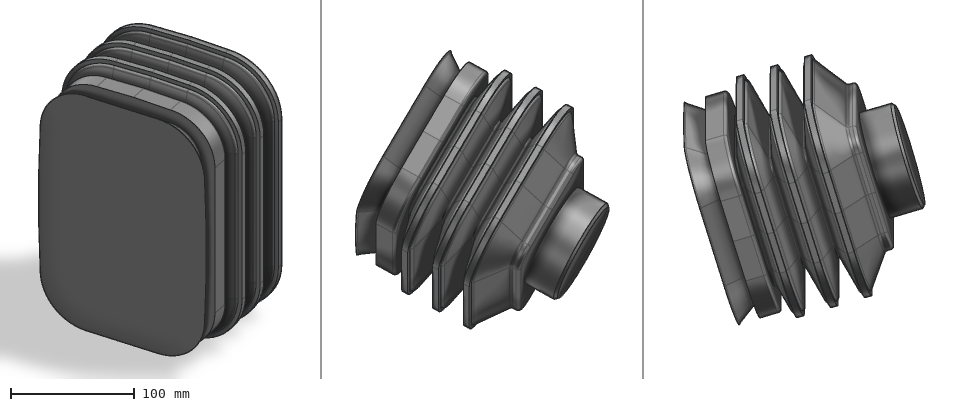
import cadquery as cq
import math

LENGTH = 241.2
FLANGE_HALF_WIDTH = 170.0 / 2
CORNER_X = 34.7
END_PEAK = 1.0
CORNER_Z = LENGTH / 2 - END_PEAK - (FLANGE_HALF_WIDTH - CORNER_X)

LIP_HALF_WIDTH = 79.0
LIP_HALF_LENGTH = 112.2
LIP_CORNER_X = 34.0
LIP_CORNER_Z = 68.7
LIP_CORNER_RADIUS = LIP_HALF_LENGTH - LIP_CORNER_Z
LIP_DEPTH = 17.8
LIP_INSET = 13.0
LIP_RIM_DEPTH = 1.2
LIP_RIM_INSET = 1.5
LIP_SIDE_TILT = 0.047

PLATE_HALF_WIDTH = 76.7
PLATE_REAR = 36.0
PLATE_ROUND = 2.7

FOLD_COUNT = 3
FOLD_PITCH = 28.7
FIRST_FOLD = 49.5
FLANGE_THICKNESS = 5.5
RIDGE_HALF_WIDTH = 81.3
RIDGE_HALF_DEPTH = 4.5
FOLD_SLOPE = 3.9
RIDGE_ROUND = 3.0
VALLEY_ROUND = 1.33
NECK_HALF_WIDTH = 55.2
NECK_ROUND = 2.0

COLLAR_HALF_WIDTH = 53.5
COLLAR_REAR = 138.2
COLLAR_FRONT = 130.7
COLLAR_ROUND = 3.0
LAST_RIDGE_HALF_DEPTH = 3.4

FITTING_DIAMETER = 89.0
FITTING_REAR = 167.5
FITTING_CHAMFER = 2.5

TOLERANCE = 0.02


def plane_at(y):
    """Plane at depth y whose local axes are +X and +Z; its normal is -Y."""
    return cq.Workplane("XZ", origin=(0, y, 0))


def bellows_outline(y, half_width):
    """Closed outline with straight sides, round corners and slightly peaked ends."""
    radius = half_width - CORNER_X
    end = CORNER_Z + radius
    diagonal = radius * math.sqrt(0.5)
    corner_x = CORNER_X + diagonal
    corner_z = CORNER_Z + diagonal
    return (
        plane_at(y)
        .moveTo(half_width, -CORNER_Z)
        .lineTo(half_width, CORNER_Z)
        .threePointArc((corner_x, corner_z), (CORNER_X, end))
        .lineTo(0, end + END_PEAK)
        .lineTo(-CORNER_X, end)
        .threePointArc((-corner_x, corner_z), (-half_width, CORNER_Z))
        .lineTo(-half_width, -CORNER_Z)
        .threePointArc((-corner_x, -corner_z), (-CORNER_X, -end))
        .lineTo(0, -end - END_PEAK)
        .lineTo(CORNER_X, -end)
        .threePointArc((corner_x, -corner_z), (half_width, -CORNER_Z))
        .close()
    )


def bellows_slab(front, rear, half_width):
    """Straight-walled slab between two depths."""
    return bellows_outline(rear, half_width).extrude(rear - front)


def round_rims(body, depths, radius):
    """Round the edges that run around the body at the given depths."""
    edges = [
        edge
        for edge in body.edges().vals()
        for y in depths
        if edge.BoundingBox().ylen < TOLERANCE and abs(edge.Center().y - y) < TOLERANCE
    ]
    return body.newObject(edges).fillet(radius)


def make_folds():
    """Folds and rear collar: a solid ruled through ridges and valleys, rounded, with a flange on each ridge."""
    folds = [FIRST_FOLD + i * FOLD_PITCH for i in range(FOLD_COUNT)]
    valleys = [fold + FOLD_PITCH / 2 for fold in folds[:-1]]
    ridge_fronts = [fold - RIDGE_HALF_DEPTH for fold in folds]
    ridge_rears = [fold + RIDGE_HALF_DEPTH for fold in folds[:-1]] + [folds[-1] + LAST_RIDGE_HALF_DEPTH]
    valley_half_width = RIDGE_HALF_WIDTH - FOLD_SLOPE * (FOLD_PITCH / 2 - RIDGE_HALF_DEPTH)
    neck_rear = ridge_fronts[0] - (RIDGE_HALF_WIDTH - NECK_HALF_WIDTH) / FOLD_SLOPE

    stations = [(PLATE_REAR, NECK_HALF_WIDTH), (neck_rear, NECK_HALF_WIDTH)]
    stations += [(y, RIDGE_HALF_WIDTH) for y in ridge_fronts + ridge_rears]
    stations += [(y, valley_half_width) for y in valleys]
    stations += [(COLLAR_FRONT, COLLAR_HALF_WIDTH), (COLLAR_REAR, COLLAR_HALF_WIDTH)]
    wires = [bellows_outline(y, half_width).val() for y, half_width in sorted(stations)]

    body = cq.Workplane(cq.Solid.makeLoft(wires, ruled=True))
    body = round_rims(body, ridge_fronts + ridge_rears, RIDGE_ROUND)
    body = round_rims(body, valleys, VALLEY_ROUND)
    body = round_rims(body, [neck_rear], NECK_ROUND)
    body = round_rims(body, [COLLAR_FRONT, COLLAR_REAR], COLLAR_ROUND)
    for fold in folds:
        half = FLANGE_THICKNESS / 2
        body = body.union(bellows_slab(fold - half, fold + half, FLANGE_HALF_WIDTH))
    return body


def make_bellows():
    """Base plate and folds in one piece."""
    plate = bellows_slab(LIP_DEPTH, PLATE_REAR, PLATE_HALF_WIDTH)
    plate = round_rims(plate, [PLATE_REAR], PLATE_ROUND)
    return plate.union(make_folds())


def lip_outline(y, inset):
    """Closed outline with straight ends, round corners and bowed sides tangent to them."""
    radius = LIP_CORNER_RADIUS - inset
    half_length = LIP_HALF_LENGTH - inset
    half_width = LIP_HALF_WIDTH - inset
    side_x = LIP_CORNER_X + radius * math.cos(LIP_SIDE_TILT)
    side_z = LIP_CORNER_Z + radius * math.sin(LIP_SIDE_TILT)
    middle = (math.pi / 2 + LIP_SIDE_TILT) / 2
    corner_x = LIP_CORNER_X + radius * math.cos(middle)
    corner_z = LIP_CORNER_Z + radius * math.sin(middle)
    return (
        plane_at(y)
        .moveTo(-LIP_CORNER_X, half_length)
        .lineTo(LIP_CORNER_X, half_length)
        .threePointArc((corner_x, corner_z), (side_x, side_z))
        .threePointArc((half_width, 0), (side_x, -side_z))
        .threePointArc((corner_x, -corner_z), (LIP_CORNER_X, -half_length))
        .lineTo(-LIP_CORNER_X, -half_length)
        .threePointArc((-corner_x, -corner_z), (-side_x, -side_z))
        .threePointArc((-half_width, 0), (-side_x, side_z))
        .threePointArc((-corner_x, corner_z), (-LIP_CORNER_X, half_length))
        .close()
    )


def make_lip():
    """Solid lip that flares toward the front face."""
    stations = [(0, 0), (LIP_RIM_DEPTH, LIP_RIM_INSET), (LIP_DEPTH, LIP_INSET)]
    wires = [lip_outline(y, inset).val() for y, inset in stations]
    return cq.Workplane(cq.Solid.makeLoft(wires, ruled=True))


def make_fitting():
    """Chamfered disc behind the collar."""
    disc = plane_at(FITTING_REAR).circle(FITTING_DIAMETER / 2).extrude(FITTING_REAR - COLLAR_REAR)
    return disc.faces(">Y").chamfer(FITTING_CHAMFER)


lip = make_lip()
bellows = make_bellows()
fitting = make_fitting()

result = cq.Compound.makeCompound([lip.val(), bellows.val(), fitting.val()])